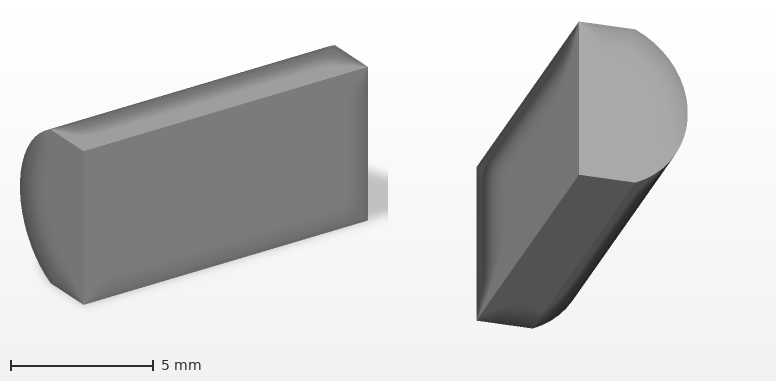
import cadquery as cq
import math

width = 4.0
length = 12.0
height = 6.0
round_radius = 3.3

half_height = height / 2
arc_rise = round_radius - math.sqrt(round_radius**2 - half_height**2)

section = (
    cq.Workplane("XZ")
    .moveTo(arc_rise, -half_height)
    .lineTo(width, -half_height)
    .lineTo(width, half_height)
    .lineTo(arc_rise, half_height)
    .threePointArc((0, 0), (arc_rise, -half_height))
    .close()
)

result = section.extrude(length / 2, both=True)